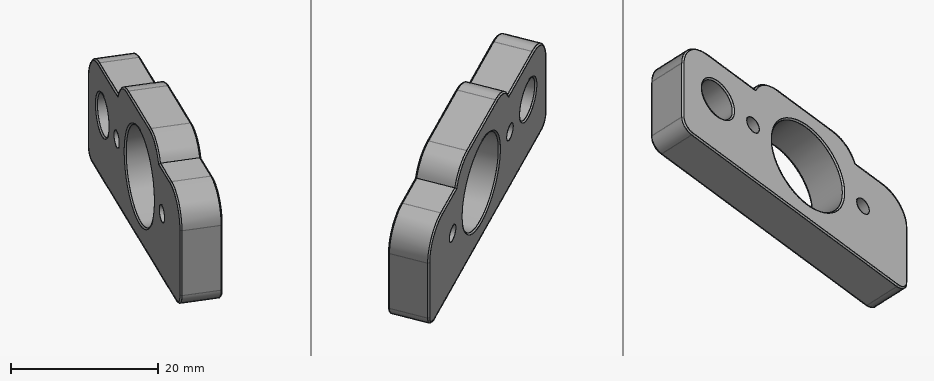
import cadquery as cq
import math

length = 45.0
height = 20.0
thickness = 6.0
shoulder_height = 17.0
bottom_radius = 2.0
top_radius = 5.0
edge_chamfer = 0.22

bump_left = 14.0
bump_right = 35.0

hole_height = height / 2
bore_x = 25.0
bore_diameter = 14.2
side_hole_x = 7.0
side_hole_diameter = 6.15
screw_spacing = 22.0
screw_diameter = 2.5


def make_plate():
    """Plate with a rounded bump whose corner arcs are cut off by the shoulders."""
    arc_centre_z = height - top_radius
    shoulder_rise = shoulder_height - arc_centre_z
    arc_reach = math.sqrt(top_radius**2 - shoulder_rise**2)
    mid_angle = (math.pi / 2 + math.asin(shoulder_rise / top_radius)) / 2
    mid_reach = top_radius * math.cos(mid_angle)
    mid_z = arc_centre_z + top_radius * math.sin(mid_angle)
    left_arc_x = bump_left + top_radius
    right_arc_x = bump_right - top_radius

    plate = (
        cq.Workplane("XZ")
        .lineTo(length, 0)
        .lineTo(length, shoulder_height)
        .lineTo(right_arc_x + arc_reach, shoulder_height)
        .threePointArc((right_arc_x + mid_reach, mid_z), (right_arc_x, height))
        .lineTo(left_arc_x, height)
        .threePointArc((left_arc_x - mid_reach, mid_z), (left_arc_x - arc_reach, shoulder_height))
        .lineTo(0, shoulder_height)
        .close()
        .extrude(-thickness)
    )
    side_faces = plate.faces("<X or >X")
    plate = side_faces.edges("|Y and <Z").fillet(bottom_radius)
    return plate.faces("<X or >X").edges("|Y and >Z").fillet(top_radius)


def drill(body, x, diameter):
    """Cut a round hole through the thickness."""
    cutter = cq.Workplane("XZ").center(x, hole_height).circle(diameter / 2).extrude(-thickness)
    return body.cut(cutter)


result = make_plate()
result = drill(result, bore_x, bore_diameter)
result = drill(result, side_hole_x, side_hole_diameter)

result = result.faces("<Y or >Y").edges().chamfer(edge_chamfer)

for side in (-1, 1):
    result = drill(result, bore_x + side * screw_spacing / 2, screw_diameter)